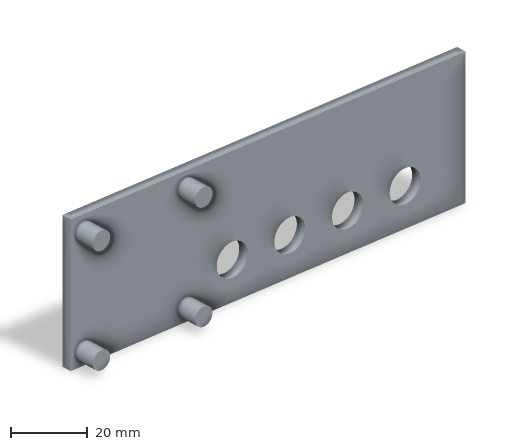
import cadquery as cq

PLATE_THICKNESS = 3.3
PLATE_LENGTH = 137.0
PLATE_HEIGHT = 45.0

HOLE_DIAMETER = 10.7
HOLE_COUNT = 4
HOLE_PITCH = 20.0
FIRST_HOLE_Y = 56.0
HOLE_ROW_Z = 12.65

STANDOFF_DIAMETER = 6.0
STANDOFF_LENGTH = 7.0
STANDOFFS_PER_SIDE = 2
STANDOFF_SPACING = 35.5
FIRST_STANDOFF_Y = 4.5
FIRST_STANDOFF_Z = 4.5


def make_plate():
    return cq.Workplane("XY").box(PLATE_THICKNESS, PLATE_LENGTH, PLATE_HEIGHT, centered=False)


def make_holes():
    centers = [(FIRST_HOLE_Y + i * HOLE_PITCH, HOLE_ROW_Z) for i in range(HOLE_COUNT)]
    return (
        cq.Workplane("YZ")
        .pushPoints(centers)
        .circle(HOLE_DIAMETER / 2)
        .extrude(PLATE_THICKNESS)
    )


def make_standoffs():
    centers = [
        (FIRST_STANDOFF_Y + i * STANDOFF_SPACING, FIRST_STANDOFF_Z + j * STANDOFF_SPACING)
        for i in range(STANDOFFS_PER_SIDE)
        for j in range(STANDOFFS_PER_SIDE)
    ]
    return (
        cq.Workplane("YZ")
        .pushPoints(centers)
        .circle(STANDOFF_DIAMETER / 2)
        .extrude(PLATE_THICKNESS + STANDOFF_LENGTH)
    )


result = make_plate().union(make_standoffs()).cut(make_holes())